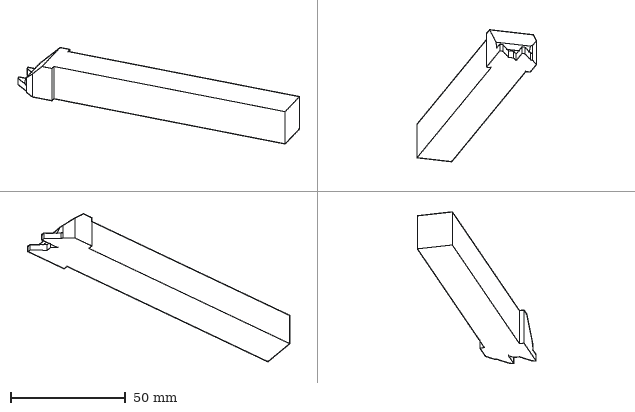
import cadquery as cq

total_length = 130.0
head_width = 20.0
height = 15.9
shank_width = 15.9
head_end = 20.0

slope_top_x = 15.3
nose_knee_z = 6.2
nose_knee_x = slope_top_x - (height - nose_knee_z)
nose_foot_x = 5.0
nose_foot_z = 3.5

tooth_height = 3.1
tooth_pitch = 10.1
tooth_count = 2
tip_width = 1.4
tip_setback = 0.3
flank_slope = 0.74
root_x = 6.2
gap_step_offset = 8.2

corner_x = 6.5
corner_offset = 16.9

head_side = head_width / 2
root_offset = tip_width + flank_slope * (root_x - tip_setback)
last_tip_offset = (tooth_count - 1) * tooth_pitch + tip_width
relief_end_x = corner_x + (head_width - corner_offset) / flank_slope
gap_depth_x = root_x + (tooth_pitch - gap_step_offset) / flank_slope


def plan_point(x, offset):
    """Point in plan, a given distance in from the +Y side of the head."""
    return (x, head_side - offset)


def make_shank():
    """Rectangular bar behind the head."""
    return cq.Workplane("XY").box(
        total_length - head_end, shank_width, height, centered=(False, True, False)
    ).translate((head_end, 0, 0))


def close_behind(plan):
    """Finish a head plan outline around the relieved side and the back."""
    return (
        plan.lineTo(*plan_point(relief_end_x, head_width))
        .lineTo(*plan_point(head_end, head_width))
        .lineTo(*plan_point(head_end, 0))
        .close()
    )


def make_toothed_base():
    """Bottom layer of the head, with the teeth along its leading edge."""
    plan = cq.Workplane("XY").moveTo(*plan_point(0, 0))
    for tooth in range(tooth_count):
        start = tooth * tooth_pitch
        if tooth > 0:
            plan = (
                plan.lineTo(*plan_point(root_x, start - tooth_pitch + gap_step_offset))
                .lineTo(*plan_point(gap_depth_x, start))
                .lineTo(*plan_point(0, start))
            )
        plan = plan.lineTo(*plan_point(tip_setback, start + tip_width))
        plan = plan.lineTo(*plan_point(root_x, start + root_offset))
    plan = plan.lineTo(*plan_point(corner_x, corner_offset))
    return close_behind(plan).extrude(tooth_height)


def make_upper_head():
    """Head above the teeth: plan outline with a rounded corner, cut to the sloped side profile."""
    flank_end = plan_point(nose_foot_x, last_tip_offset + flank_slope * (nose_foot_x - tip_setback))
    plan = (
        cq.Workplane("XY").workplane(offset=tooth_height)
        .moveTo(*plan_point(0, 0))
        .lineTo(*plan_point(tip_setback, last_tip_offset))
        .lineTo(*flank_end)
        .tangentArcPoint(plan_point(corner_x, corner_offset), relative=False)
    )
    plan_solid = close_behind(plan).extrude(height - tooth_height)
    side_solid = (
        cq.Workplane("XZ", origin=(0, head_side, 0))
        .moveTo(nose_foot_x, tooth_height)
        .lineTo(nose_foot_x, nose_foot_z)
        .lineTo(nose_knee_x, nose_knee_z)
        .lineTo(slope_top_x, height)
        .lineTo(head_end, height)
        .lineTo(head_end, tooth_height)
        .close()
        .extrude(head_width)
    )
    return plan_solid.intersect(side_solid)


result = make_toothed_base().union(make_upper_head()).union(make_shank()).clean()